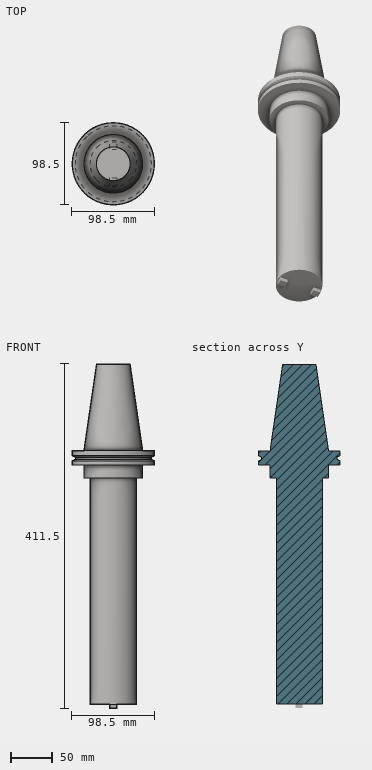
import cadquery as cq

total_length = 411.5
gauge_diameter = 70.0
taper_length = 101.5
taper_ratio = 7 / 24
taper_tip_diameter = gauge_diameter - taper_length * taper_ratio

flange_diameter = 98.5
flange_gap = 1.5
upper_rim_height = 6.0
groove_width = 6.0
groove_floor_width = 2.5
groove_depth = 3.5
lower_rim_height = 5.0

collar_diameter = 70.5
collar_height = 15.5
body_diameter = 55.5

key_height = 5.0
key_width = 8.5
key_inner_distance = 17.0
key_outer_distance = 26.5

gauge_z = total_length - taper_length
flange_top_z = gauge_z - flange_gap
groove_top_z = flange_top_z - upper_rim_height
groove_bottom_z = groove_top_z - groove_width
flange_bottom_z = groove_bottom_z - lower_rim_height
collar_bottom_z = flange_bottom_z - collar_height
body_bottom_z = key_height

tip_r = taper_tip_diameter / 2
gauge_r = gauge_diameter / 2
flange_r = flange_diameter / 2
groove_r = flange_r - groove_depth
collar_r = collar_diameter / 2
body_r = body_diameter / 2
groove_wall_run = (groove_width - groove_floor_width) / 2


def make_holder():
    """Turned body: taper, grooved flange, collar and long cylinder."""
    profile = [
        (0, total_length),
        (tip_r, total_length),
        (gauge_r, gauge_z),
        (gauge_r, flange_top_z),
        (flange_r, flange_top_z),
        (flange_r, groove_top_z),
        (groove_r, groove_top_z - groove_wall_run),
        (groove_r, groove_bottom_z + groove_wall_run),
        (flange_r, groove_bottom_z),
        (flange_r, flange_bottom_z),
        (collar_r, flange_bottom_z),
        (collar_r, collar_bottom_z),
        (body_r, collar_bottom_z),
        (body_r, body_bottom_z),
        (0, body_bottom_z),
    ]
    return cq.Workplane("XZ").polyline(profile).close().revolve(360, (0, 0), (0, 1))


def make_keys():
    """Pair of rectangular drive keys, opposite each other along Y."""
    key_length = key_outer_distance - key_inner_distance
    key_center = (key_inner_distance + key_outer_distance) / 2
    return (
        cq.Workplane("XY")
        .pushPoints([(0, side * key_center) for side in (-1, 1)])
        .rect(key_width, key_length)
        .extrude(key_height)
    )


result = make_holder().union(make_keys())